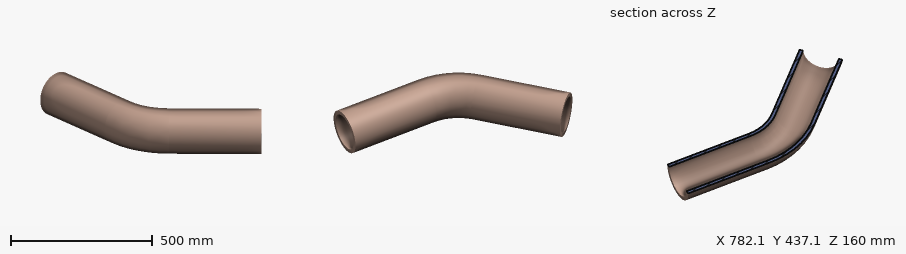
import cadquery as cq
import math

outer_diameter = 160.0
inner_diameter = 130.8
bend_angle = 45.0
bend_radius = 1.5 * outer_diameter
end_to_corner = 425.0

turn = math.radians(bend_angle)
leg_length = end_to_corner - bend_radius * math.tan(turn / 2)


def bend_point(angle):
    """Centreline point after turning by the given angle (radians) through the elbow."""
    x = leg_length + bend_radius * math.sin(angle)
    y = bend_radius * (1 - math.cos(angle))
    return (x, y)


def make_centreline():
    """Straight leg along +X, elbow arc, then the second straight leg."""
    elbow_end_x, elbow_end_y = bend_point(turn)
    far_end = (
        elbow_end_x + leg_length * math.cos(turn),
        elbow_end_y + leg_length * math.sin(turn),
    )
    return (
        cq.Workplane("XY")
        .moveTo(0, 0)
        .lineTo(leg_length, 0)
        .threePointArc(bend_point(turn / 2), (elbow_end_x, elbow_end_y))
        .lineTo(*far_end)
    )


def make_rod(diameter):
    """Solid round bar following the centreline."""
    return cq.Workplane("YZ").circle(diameter / 2).sweep(make_centreline())


result = make_rod(outer_diameter).cut(make_rod(inner_diameter))